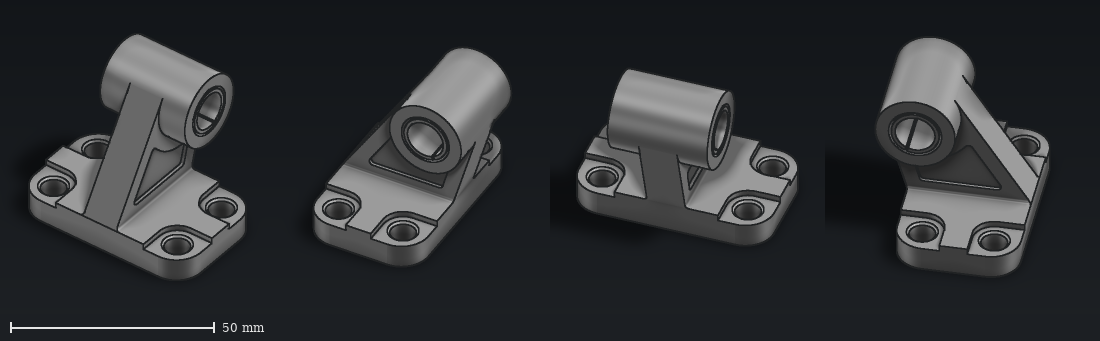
import cadquery as cq
import math

chamfer_angle = 45.0

plate_length = 51.0
plate_width = 31.0
plate_height = 8.0
plate_corner_radius = 7.5

hole_spacing_x = 38.0
hole_spacing_y = 18.0
hole_diameter = 6.6
hole_chamfer = 0.6
spot_face_radius = 5.5
spot_face_depth = 1.6

hub_radius = 10.0
hub_length = 26.0
hub_overhang = 6.5
hub_y = plate_width / 2 + hub_overhang - hub_radius
hub_z = 32.05
hub_chamfer = 0.65

rib_thickness = 10.0
rib_foot_fillet = 1.0
rib_border = 4.0
pocket_floor_height = 3.0
pocket_depth = 1.0
pocket_corner_radius = 1.0

bushing_outer_diameter = 12.0
bushing_bore_diameter = 10.0
bushing_length = hub_length / 2
bushing_slit_width = 0.5
bushing_slit_angle = 23.0


def tangent_point(y, z, radius, side):
    """Where a line from (y, z) touches a circle about the hub axis; side is +1 (back) or -1 (front)."""
    distance = math.hypot(y - hub_y, z - hub_z)
    direction = math.atan2(z - hub_z, y - hub_y)
    angle = direction + side * math.acos(radius / distance)
    return (hub_y + radius * math.cos(angle), hub_z + radius * math.sin(angle))


def offset_inward(start, end, distance, side):
    """Move a flank toward the inside of the rib; side is +1 (back flank) or -1 (front flank)."""
    dy = end[0] - start[0]
    dz = end[1] - start[1]
    length = math.hypot(dy, dz)
    shift_y = -side * dz / length * distance
    shift_z = side * dy / length * distance
    return [(y + shift_y, z + shift_z) for y, z in (start, end)]


def point_at_height(line, z):
    (y0, z0), (y1, z1) = line
    return (y0 + (y1 - y0) * (z - z0) / (z1 - z0), z)


def point_at_radius(line, radius):
    """Where a flank line, running upward, first enters a circle about the hub axis."""
    (y0, z0), (y1, z1) = line
    length = math.hypot(y1 - y0, z1 - z0)
    uy = (y1 - y0) / length
    uz = (z1 - z0) / length
    along = (hub_y - y0) * uy + (hub_z - z0) * uz
    across = (hub_y - y0) * uz - (hub_z - z0) * uy
    step = along - math.sqrt(radius**2 - across**2)
    return (y0 + step * uy, z0 + step * uz)


def hub_cylinder(radius, length, start_x):
    return (
        cq.Workplane("YZ", origin=(start_x, hub_y, hub_z))
        .circle(radius)
        .extrude(length)
    )


back_foot = (plate_width / 2, plate_height)
front_foot = (-plate_width / 2, plate_height)
back_flank = (back_foot, tangent_point(*back_foot, hub_radius, 1))
front_flank = (front_foot, tangent_point(*front_foot, hub_radius, -1))


def make_plate():
    return (
        cq.Workplane("XY")
        .rect(plate_length, plate_width)
        .extrude(plate_height)
        .edges("|Z")
        .fillet(plate_corner_radius)
    )


def make_rib():
    return (
        cq.Workplane("YZ", origin=(-rib_thickness / 2, 0, 0))
        .polyline([front_foot, back_foot, back_flank[1], (hub_y, hub_z), front_flank[1]])
        .close()
        .extrude(rib_thickness)
    )


def make_spot_faces():
    """Square-ended pockets at the corners, rounded about each hole on the inner corner."""
    spot_z = plate_height - spot_face_depth
    spots = cq.Workplane("XY")
    for side_x in (-1, 1):
        for side_y in (-1, 1):
            inner_x = side_x * (hole_spacing_x / 2 - spot_face_radius)
            inner_y = side_y * (hole_spacing_y / 2 - spot_face_radius)
            outer_x = side_x * plate_length / 2
            outer_y = side_y * plate_width / 2
            spot = (
                cq.Workplane("XY", origin=((inner_x + outer_x) / 2, (inner_y + outer_y) / 2, spot_z))
                .rect(abs(outer_x - inner_x), abs(outer_y - inner_y))
                .extrude(spot_face_depth)
            )
            inner_corner = cq.selectors.NearestToPointSelector((inner_x, inner_y, plate_height))
            spots = spots.union(spot.edges("|Z").edges(inner_corner).fillet(spot_face_radius))
    return spots


def make_mounting_holes():
    """Four through holes, chamfered where they meet the spot faces."""
    spot_z = plate_height - spot_face_depth
    radius = hole_diameter / 2
    holes = cq.Workplane("XY").rect(hole_spacing_x, hole_spacing_y, forConstruction=True).vertices()
    shafts = holes.circle(radius).extrude(spot_z)
    countersinks = (
        cq.Workplane("XY", origin=(0, 0, spot_z))
        .rect(hole_spacing_x, hole_spacing_y, forConstruction=True)
        .vertices()
        .circle(radius + hole_chamfer)
        .extrude(-hole_chamfer, taper=chamfer_angle)
    )
    return shafts.union(countersinks)


def make_rib_pocket(side):
    """Recess in one face of the rib, its border parallel to the flanks and concentric with the hub."""
    floor_z = plate_height + pocket_floor_height
    top_radius = hub_radius + rib_border
    back_line = offset_inward(*back_flank, rib_border, 1)
    front_line = offset_inward(*front_flank, rib_border, -1)
    back_top = point_at_radius(back_line, top_radius)
    front_top = point_at_radius(front_line, top_radius)
    mid_angle = (
        math.atan2(back_top[1] - hub_z, back_top[0] - hub_y)
        + math.atan2(front_top[1] - hub_z, front_top[0] - hub_y)
    ) / 2
    arc_middle = (hub_y + top_radius * math.cos(mid_angle), hub_z + top_radius * math.sin(mid_angle))
    return (
        cq.Workplane("YZ", origin=(side * rib_thickness / 2, 0, 0))
        .moveTo(*point_at_height(front_line, floor_z))
        .lineTo(*point_at_height(back_line, floor_z))
        .lineTo(*back_top)
        .threePointArc(arc_middle, front_top)
        .close()
        .extrude(-side * pocket_depth)
        .edges("|X")
        .fillet(pocket_corner_radius)
    )


def fillet_rib_foot(bracket):
    """Round the two inside edges where the rib stands on the plate."""
    around_foot = cq.selectors.BoxSelector(
        (-rib_thickness, -plate_width, plate_height - rib_foot_fillet),
        (rib_thickness, plate_width, plate_height + rib_foot_fillet),
    )
    return bracket.edges("|Y").edges(around_foot).fillet(rib_foot_fillet)


def make_bore_chamfer(side):
    """Cone that chamfers the mouth of the bore at one end of the hub."""
    return (
        cq.Workplane("YZ", origin=(side * hub_length / 2, hub_y, hub_z))
        .circle(bushing_outer_diameter / 2 + hub_chamfer)
        .extrude(-side * hub_chamfer, taper=chamfer_angle)
    )


def make_bracket():
    bracket = make_plate().union(make_rib())
    bracket = fillet_rib_foot(bracket)
    bracket = bracket.cut(make_spot_faces()).cut(make_mounting_holes())
    bracket = bracket.union(hub_cylinder(hub_radius, hub_length, -hub_length / 2))
    bracket = bracket.cut(hub_cylinder(bushing_outer_diameter / 2, hub_length, -hub_length / 2))
    for side in (-1, 1):
        bracket = bracket.cut(make_rib_pocket(side)).cut(make_bore_chamfer(side))
    return bracket


def make_bushing(start_x):
    """Sleeve with one lengthwise slit through its wall."""
    outer_radius = bushing_outer_diameter / 2
    sleeve = hub_cylinder(outer_radius, bushing_length, start_x).cut(
        hub_cylinder(bushing_bore_diameter / 2, bushing_length, start_x)
    )
    slit = (
        cq.Workplane("XY")
        .box(bushing_length, bushing_slit_width, 2 * outer_radius, centered=(False, True, False))
        .translate((0, 0, -2 * outer_radius))
        .rotate((0, 0, 0), (1, 0, 0), bushing_slit_angle)
        .translate((start_x, hub_y, hub_z))
    )
    return sleeve.cut(slit)


bracket = make_bracket()
bushings = [make_bushing(start_x) for start_x in (-bushing_length, 0)]

result = cq.Compound.makeCompound([bracket.val(), *[bushing.val() for bushing in bushings]])